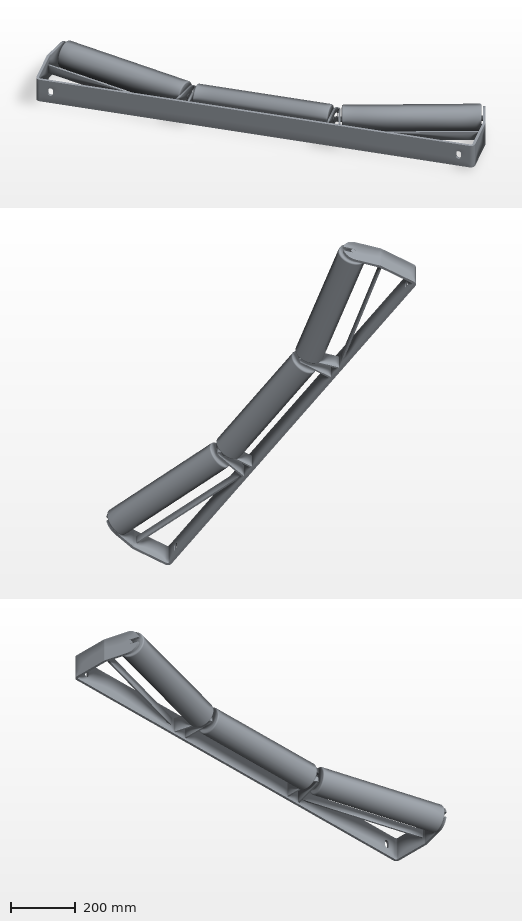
import cadquery as cq
import math

FRAME_LENGTH = 1400.0
FRAME_HEIGHT = 80.0
PLATE = 8.0
FRAME_BEND = 14.0
WING_ANGLE = 15.0
SHAFT_Y_AT_LEG = 220.0
END_BEND_Y = 135.0
TIP_BEYOND_SHAFT = 34.0

ROLLER_LENGTH = 430.0
ROLLER_DIAMETER = 90.0
ROLLER_ROUND = 4.0
SHAFT_DIAMETER = 17.0
SLOT_OVERRUN = 1.0
SHAFT_REACH = 13.0
WING_TILT = 0.8
CENTER_AXIS_Y = 100.0
CENTER_AXIS_Z = 32.0
WING_OUTER_Z = 38.0

BRACKET_HEIGHT = 50.0
BRACKET_PLATE = 5.0
BRACKET_BEND = 11.0
ROLLER_GAP = 4.0
WING_GAP = 4.0

BRACE_PLATE = 5.0
BRACE_HEIGHT = 30.0
BRACE_ANGLE = 16.0
BRACE_FOOT_X = 291.0

MOUNT_HOLE_X = 651.0
MOUNT_HOLE_WIDTH = 17.0
MOUNT_HOLE_HEIGHT = 28.0

HALF_LENGTH = FRAME_LENGTH / 2
MID_Z = FRAME_HEIGHT / 2
LEAN = math.radians(WING_ANGLE)
LEG_UP = (-math.sin(LEAN), math.cos(LEAN))
AXIS_OUT = (math.cos(LEAN), math.sin(LEAN))
LEG_FACE_X = HALF_LENGTH - (SHAFT_Y_AT_LEG - END_BEND_Y) * math.tan(LEAN)
WING_MIDDLE_OFFSET = SHAFT_REACH + ROLLER_LENGTH / 2
WING_X = LEG_FACE_X - WING_MIDDLE_OFFSET * AXIS_OUT[0]
WING_Y = SHAFT_Y_AT_LEG - WING_MIDDLE_OFFSET * AXIS_OUT[1]
WING_Z = WING_OUTER_Z - ROLLER_LENGTH / 2 * math.sin(math.radians(WING_TILT))
FAR = FRAME_LENGTH


def bent_strip(path, thickness, bend_radius, height):
    """Strip on edge: path is its outer face, material lies to the left of travel."""
    def unit(a, b):
        length = math.dist(a, b)
        return ((b[0] - a[0]) / length, (b[1] - a[1]) / length)

    directions = [unit(a, b) for a, b in zip(path, path[1:])]
    inner = []
    for index, (x, y) in enumerate(path):
        before = directions[max(index - 1, 0)]
        after = directions[min(index, len(directions) - 1)]
        scale = thickness / (1 + before[0] * after[0] + before[1] * after[1])
        inner.append((x - (before[1] + after[1]) * scale, y + (before[0] + after[0]) * scale))

    strip = cq.Workplane("XY").polyline(path + inner[::-1]).close().extrude(height)
    for corners, radius in ((path, bend_radius), (inner, bend_radius - thickness)):
        for x, y in corners[1:-1]:
            edge = cq.selectors.NearestToPointSelector((x, y, height / 2))
            strip = strip.edges(edge).fillet(radius)
    return strip


def mirrored(body):
    """The left-hand copy of a right-hand body."""
    return body.mirror("YZ")


def place_wing(body):
    """Move a body built about the X axis to the right wing roller's place."""
    return (
        body.rotate((0, 0, 0), (0, 1, 0), -WING_TILT)
        .rotate((0, 0, 0), (0, 0, 1), WING_ANGLE)
        .translate((WING_X, WING_Y, WING_Z))
    )


def place_center(body):
    """Move a body built about the X axis to the centre roller's place."""
    return body.translate((0, CENTER_AXIS_Y, CENTER_AXIS_Z))


def rod(diameter, length):
    """Cylinder along X, centred on the origin."""
    return cq.Workplane("YZ", origin=(-length / 2, 0, 0)).circle(diameter / 2).extrude(length)


def make_roller():
    """Roller with rounded rims and a shaft stub at each end, along X."""
    shell = rod(ROLLER_DIAMETER, ROLLER_LENGTH).faces("<X or >X").edges().fillet(ROLLER_ROUND)
    return shell.union(rod(SHAFT_DIAMETER, ROLLER_LENGTH + 2 * SHAFT_REACH))


def make_shaft_slot():
    """Cutter along X: round bottom fitting the shaft, open toward +Y."""
    length = ROLLER_LENGTH + 2 * (SHAFT_REACH + SLOT_OVERRUN)
    opening = cq.Workplane("XY").box(
        length, ROLLER_DIAMETER, SHAFT_DIAMETER, centered=(True, False, True)
    )
    return rod(SHAFT_DIAMETER, length).union(opening)


def make_tip_trim():
    """Everything past the half-round tip of the right leaning leg."""
    radius = FRAME_HEIGHT / 2
    depth = 2 * PLATE
    center_up = TIP_BEYOND_SHAFT - radius
    tip_plane = cq.Plane(
        origin=(LEG_FACE_X + LEG_UP[0] * center_up, SHAFT_Y_AT_LEG + LEG_UP[1] * center_up, MID_Z),
        xDir=(LEG_UP[0], LEG_UP[1], 0),
        normal=(AXIS_OUT[0], AXIS_OUT[1], 0),
    )
    block = cq.Workplane(tip_plane).center(radius, 0).rect(2 * radius, 4 * radius).extrude(depth, both=True)
    return block.cut(cq.Workplane(tip_plane).circle(radius).extrude(depth, both=True))


def make_frame(slot):
    """Bent strip with leaning slotted ends and two upright mounting slots."""
    tip_x = LEG_FACE_X + LEG_UP[0] * TIP_BEYOND_SHAFT
    tip_y = SHAFT_Y_AT_LEG + LEG_UP[1] * TIP_BEYOND_SHAFT
    right = [(HALF_LENGTH, 0), (HALF_LENGTH, END_BEND_Y), (tip_x, tip_y)]
    left = [(-x, y) for x, y in reversed(right)]
    frame = bent_strip(left + right, PLATE, FRAME_BEND, FRAME_HEIGHT)
    holes = (
        cq.Workplane("XZ", origin=(0, 0, MID_Z))
        .pushPoints([(-MOUNT_HOLE_X, 0), (MOUNT_HOLE_X, 0)])
        .slot2D(MOUNT_HOLE_HEIGHT, MOUNT_HOLE_WIDTH, 90)
        .extrude(-PLATE)
    )
    frame = frame.cut(holes)
    tip_trim = make_tip_trim()
    wing_slot = place_wing(slot)
    for cutter in (tip_trim, wing_slot):
        frame = frame.cut(cutter).cut(mirrored(cutter))
    return frame


def base_side(limit_y):
    """Space in front of y = limit_y, used to seat parts on the base strip."""
    return cq.Workplane("XY").box(2 * FAR, FAR, FAR).translate((0, limit_y - FAR / 2, 0))


def make_bracket(slot):
    """Right bracket: an upright leg and a leaning leg joined by a bend."""
    upright_x = ROLLER_LENGTH / 2 + ROLLER_GAP
    inner_offset = ROLLER_LENGTH / 2 + WING_GAP
    face_x = WING_X - inner_offset * AXIS_OUT[0]
    face_y = WING_Y - inner_offset * AXIS_OUT[1]
    foot_x = face_x + face_y * math.tan(LEAN)
    peak_y = (foot_x - upright_x) / math.tan(LEAN)
    path = [(foot_x, 0), (upright_x, peak_y), (upright_x, 0)]
    bracket = bent_strip(path, BRACKET_PLATE, BRACKET_BEND, BRACKET_HEIGHT)
    bracket = bracket.translate((0, 0, CENTER_AXIS_Z - BRACKET_HEIGHT / 2))
    bracket = bracket.cut(base_side(PLATE))
    return bracket.cut(place_center(slot)).cut(place_wing(slot))


def make_brace():
    """Right brace: flat bar from the base strip up to the outer leg."""
    end_side = cq.Workplane("XY").box(FAR, FAR, FAR)
    end_side = end_side.translate((HALF_LENGTH - PLATE + FAR / 2, 0, 0))
    bar = (
        cq.Workplane("XY").box(FRAME_LENGTH, BRACE_PLATE, BRACE_HEIGHT)
        .rotate((0, 0, 0), (0, 0, 1), BRACE_ANGLE)
        .translate((BRACE_FOOT_X, PLATE, MID_Z))
    )
    return bar.cut(base_side(PLATE)).cut(end_side)


shaft_slot = make_shaft_slot()
frame = make_frame(shaft_slot)

right_bracket = make_bracket(shaft_slot)
brackets = [right_bracket, mirrored(right_bracket)]

right_brace = make_brace()
braces = [right_brace, mirrored(right_brace)]

roller = make_roller()
wing_roller = place_wing(roller)
rollers = [place_center(roller), wing_roller, mirrored(wing_roller)]

result = cq.Compound.makeCompound(
    [body.val() for body in [frame, *brackets, *braces, *rollers]]
)